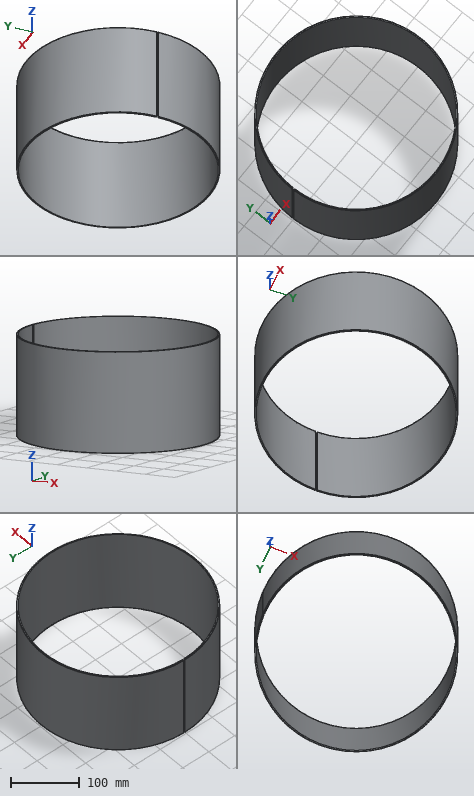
import cadquery as cq

outer_diameter = 295.0
height = 150.0
wall = 2.4
rim_chamfer = 0.5

split_angle = 1.0
sweep_angle = 360 - split_angle

outer_radius = outer_diameter / 2
mean_radius = outer_radius - wall / 2

section = cq.Sketch().rect(wall, height).vertices("<X").chamfer(rim_chamfer)

axis_start = (mean_radius, 0)
axis_end = (mean_radius, 1)
result = (
    cq.Workplane("XZ")
    .center(-mean_radius, height / 2)
    .placeSketch(section)
    .revolve(sweep_angle, axis_start, axis_end)
)